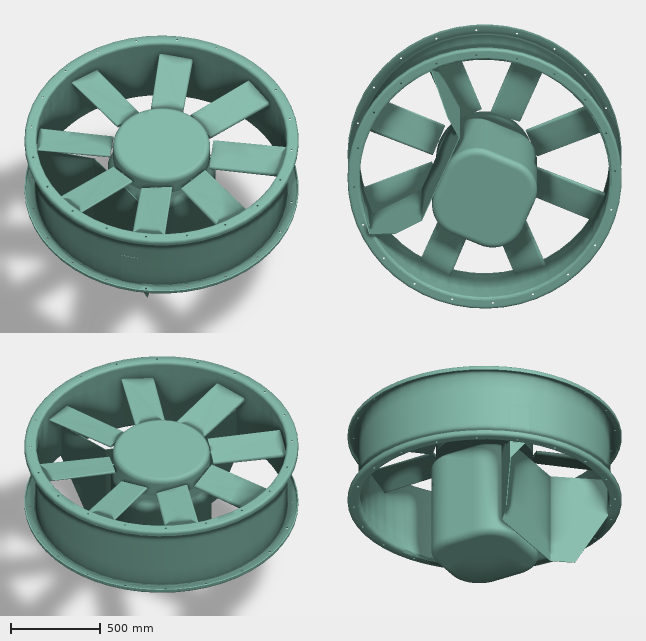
import cadquery as cq
import math

flange_radius = 770.0
casing_outer_radius = 708.0
casing_thickness = 6.0
casing_inner_radius = casing_outer_radius - casing_thickness
casing_height = 453.0
flange_lip_height = 30.0
bend_outer_radius = 15.0
hole_count = 20
hole_diameter = 12.0
hole_circle_radius = 735.0

motor_width = 535.0
motor_bottom = -362.0
motor_top = 228.0
motor_corner_radius = 180.0
motor_edge_round = 37.0

hub_radius = 273.0
hub_bottom = 297.0
hub_top = 411.0
hub_edge_round = 28.0
shaft_radius = 62.0
blade_count = 8
blade_axis_height = 343.0
blade_root_radius = 282.0
blade_tip_radius = 698.0
blade_trailing_reach = 97.0
root_leading_reach = 86.0
root_nose_radius = 11.0
root_tail_radius = 10.0
root_pitch = 12.0
tip_leading_reach = 95.0
tip_nose_radius = 15.0
tip_tail_radius = 3.0
tip_pitch = 11.5
stem_radius = 5.0
stem_embedment = 15.0

sheet_thickness = 5.0
bracket_top = motor_top
bracket_bottom = -320.0
tab_sweep = 8.7
tab_projection = 2.0
left_wing_angle = 222.35
left_wing_foot = 160.0
left_wing_edge_bottom = -105.0
left_tab_rise = 134.0
right_wing_angle = 311.7
right_wing_foot = 190.0
right_wing_edge_bottom = 0.0
right_tab_rise = 0.0


def cylinder(radius, bottom, top):
    return cq.Workplane("XY").workplane(offset=bottom).circle(radius).extrude(top - bottom)


def make_casing():
    lip_inner_radius = flange_radius - casing_thickness
    upper_lip_end = casing_height - flange_lip_height
    upper_flange_underside = casing_height - casing_thickness
    section = [
        (casing_inner_radius, 0),
        (flange_radius, 0),
        (flange_radius, flange_lip_height),
        (lip_inner_radius, flange_lip_height),
        (lip_inner_radius, casing_thickness),
        (casing_outer_radius, casing_thickness),
        (casing_outer_radius, upper_flange_underside),
        (lip_inner_radius, upper_flange_underside),
        (lip_inner_radius, upper_lip_end),
        (flange_radius, upper_lip_end),
        (flange_radius, casing_height),
        (casing_inner_radius, casing_height),
    ]
    body = cq.Workplane("XZ").polyline(section).close().revolve(360, (0, 0, 0), (0, 1, 0))
    for height in (casing_thickness, upper_flange_underside):
        flange_inside = cq.selectors.NearestToPointSelector((0, 0, height))
        body = body.faces(flange_inside).edges().fillet(bend_outer_radius - casing_thickness)
    body = body.faces("<Z or >Z").edges().fillet(bend_outer_radius)
    holes = (
        cq.Workplane("XY")
        .polarArray(hole_circle_radius, 180 / hole_count, 360, hole_count)
        .circle(hole_diameter / 2)
        .extrude(casing_height)
    )
    return body.cut(holes)


def make_motor():
    return (
        cq.Workplane("XY")
        .workplane(offset=motor_bottom)
        .rect(motor_width, motor_width)
        .extrude(motor_top - motor_bottom)
        .edges("|Z")
        .fillet(motor_corner_radius)
        .faces("<Z or >Z")
        .edges()
        .fillet(motor_edge_round)
    )


def blade_section(radius, leading_reach, nose_radius, tail_radius, pitch):
    """Teardrop profile across a blade that points along +X; the tail is on the +Y side."""
    nose_y = nose_radius - leading_reach
    tail_y = blade_trailing_reach - tail_radius
    profile = (
        cq.Workplane("YZ")
        .moveTo(nose_y, nose_radius)
        .threePointArc((-leading_reach, 0), (nose_y, -nose_radius))
        .lineTo(tail_y, -tail_radius)
        .threePointArc((blade_trailing_reach, 0), (tail_y, tail_radius))
        .close()
        .wire()
        .val()
    )
    pitched = profile.rotate(cq.Vector(0, 0, 0), cq.Vector(1, 0, 0), pitch)
    return pitched.translate(cq.Vector(radius, 0, blade_axis_height))


def make_blade():
    root = blade_section(
        blade_root_radius, root_leading_reach, root_nose_radius, root_tail_radius, root_pitch
    )
    tip = blade_section(blade_tip_radius, tip_leading_reach, tip_nose_radius, tip_tail_radius, tip_pitch)
    blade = cq.Workplane(cq.Solid.makeLoft([root, tip], True))
    stem = (
        cq.Workplane("YZ")
        .workplane(offset=hub_radius - stem_embedment)
        .center(0, blade_axis_height)
        .circle(stem_radius)
        .extrude(blade_root_radius - hub_radius + 2 * stem_embedment)
    )
    return blade.union(stem)


def make_fan():
    fan = cylinder(hub_radius, hub_bottom, hub_top).faces(">Z").edges().fillet(hub_edge_round)
    fan = fan.union(cylinder(shaft_radius, motor_top, hub_bottom))
    blade = make_blade()
    for index in range(blade_count):
        fan = fan.union(blade.rotate((0, 0, 0), (0, 0, 1), index * 360 / blade_count))
    return fan


def point_on_circle(radius, angle):
    return (radius * math.cos(math.radians(angle)), radius * math.sin(math.radians(angle)))


def make_wing(side, angle, foot, edge_bottom):
    """Upright sheet from a front corner of the motor out to the casing wall."""
    corner_x = side * motor_width / 2
    corner_y = -(motor_width + sheet_thickness) / 2
    end_x, end_y = point_on_circle(casing_outer_radius, angle)
    along = (end_x - corner_x, end_y - corner_y, 0)
    length = math.hypot(along[0], along[1])
    plane = cq.Plane((corner_x, corner_y, 0), along, (along[1], -along[0], 0))
    outline = [
        (-sheet_thickness, bracket_bottom),
        (length - foot, bracket_bottom),
        (length, edge_bottom),
        (length, bracket_top),
        (-sheet_thickness, bracket_top),
    ]
    return cq.Workplane(plane).polyline(outline).close().extrude(sheet_thickness / 2, both=True)


def make_tab(angle, sweep, edge_bottom, rise):
    """Curved strip against the casing wall; its lower edge climbs by rise away from the wing."""
    inner = casing_outer_radius - casing_thickness / 2
    outer = casing_outer_radius + tab_projection
    strip = (
        cq.Workplane("XY")
        .workplane(offset=edge_bottom)
        .moveTo(*point_on_circle(inner, angle))
        .lineTo(*point_on_circle(outer, angle))
        .threePointArc(point_on_circle(outer, angle + sweep / 2), point_on_circle(outer, angle + sweep))
        .lineTo(*point_on_circle(inner, angle + sweep))
        .threePointArc(point_on_circle(inner, angle + sweep / 2), point_on_circle(inner, angle))
        .close()
        .extrude(bracket_top - edge_bottom)
    )
    if rise == 0:
        return strip
    start_x, start_y = point_on_circle(outer, angle)
    end_x, end_y = point_on_circle(outer, angle + sweep)
    along = (end_x - start_x, end_y - start_y, 0)
    length = math.hypot(along[0], along[1])
    plane = cq.Plane((start_x, start_y, edge_bottom), along, (along[1], -along[0], 0))
    corner = cq.Workplane(plane).polyline([(0, 0), (length, 0), (length, rise)]).close()
    return strip.cut(corner.extrude(length, both=True))


def make_bracket():
    face_plate = cq.Workplane("XY").box(
        motor_width, sheet_thickness, bracket_top - bracket_bottom, centered=(True, False, False)
    )
    bracket = face_plate.translate((0, -motor_width / 2 - sheet_thickness, bracket_bottom))
    left_wing = make_wing(-1, left_wing_angle, left_wing_foot, left_wing_edge_bottom)
    left_tab = make_tab(left_wing_angle, tab_sweep, left_wing_edge_bottom, left_tab_rise)
    right_wing = make_wing(1, right_wing_angle, right_wing_foot, right_wing_edge_bottom)
    right_tab = make_tab(right_wing_angle, -tab_sweep, right_wing_edge_bottom, right_tab_rise)
    return bracket.union(left_wing).union(left_tab).union(right_wing).union(right_tab)


result = make_casing().union(make_motor()).union(make_bracket()).union(make_fan())